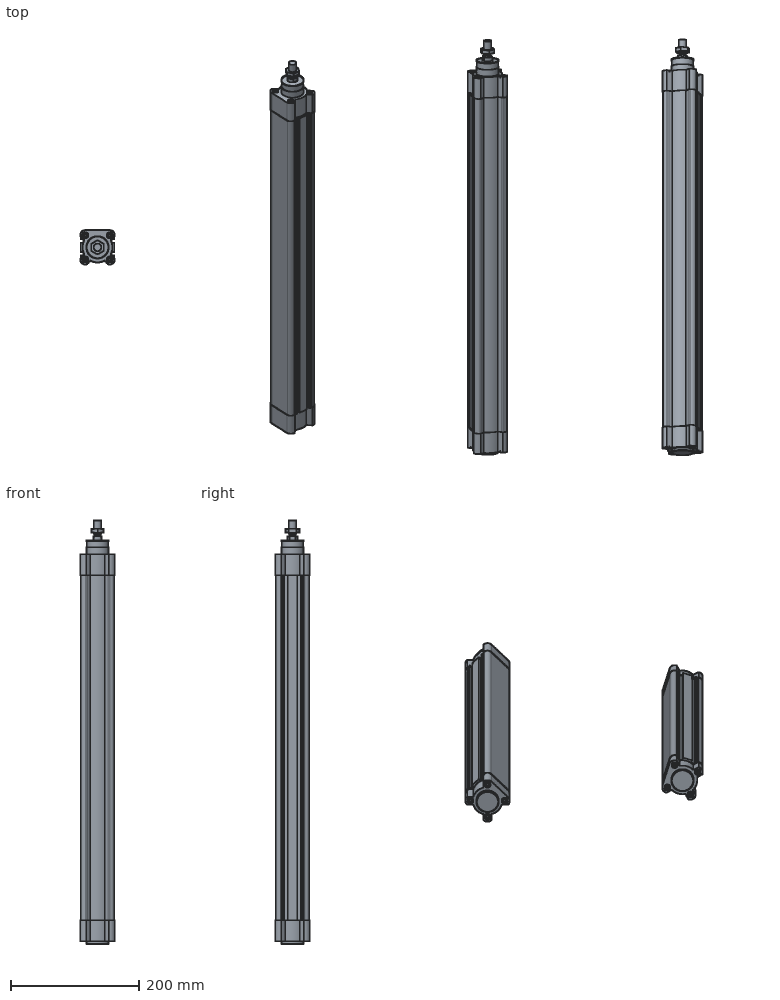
import cadquery as cq

TOTAL_LENGTH = 662.0
REAR_BOSS_HEIGHT = 4.5
CAP_LENGTH = 33.0
HEAD_TOP = 609.0
COLLAR_TOP = 631.0
ROD_SHOULDER = 637.0

CAP_SIDE = 54.0
CAP_CORNER_RADIUS = 8.5
CAP_CHANNEL_WIDTH = 36.0
CAP_CORE_RADIUS = 23.0

BARREL_SIDE = 53.0
BARREL_CORNER_RADIUS = 7.0
BARREL_CHANNEL_WIDTH = 33.0
BARREL_CORE_RADIUS = 24.0
CHANNEL_LIP_RADIUS = 2.5

CHANNEL_DEPTH = 10.5

RIB_WIDTH = 14.5
SLOT_WIDTH = 5.0
SLOT_DEPTH = 4.0

POST_GROOVE_INNER = 15.0
POST_GROOVE_WIDTH = 2.0
POST_GROOVE_DEPTH = 0.5

SCREW_SPACING = 38.0
SCREW_RECESS_DIAMETER = 9.0
SCREW_RECESS_DEPTH = 2.0
SCREW_STEP_DIAMETER = 6.0
SCREW_STEP_DEPTH = 2.5
SCREW_HOLE_DIAMETER = 4.0
SCREW_HOLE_DEPTH = 13.0

COLLAR_DIAMETER = 35.0
BOSS_CHAMFER = 1.0
GROOVE_TOP = 629.5
GROOVE_BOTTOM = 619.5
GROOVE_DIAMETER = 34.0

ROD_DIAMETER = 16.0
ROD_FLATS = 13.0
THREAD_DIAMETER = 12.0
THREAD_BOTTOM = 641.5
NECK_DIAMETER = 10.0
NECK_TOP = 639.5

NUT_TOP = 648.5
NUT_HEIGHT = 6.0
NUT_FLATS = 19.0
NUT_SIDES = 6

REAR_CAP_TOP = REAR_BOSS_HEIGHT + CAP_LENGTH
HEAD_BOTTOM = HEAD_TOP - CAP_LENGTH


def cylinder(diameter, bottom, top):
    return cq.Workplane("XY").workplane(offset=bottom).circle(diameter / 2).extrude(top - bottom)


def post_block(side, corner_radius, bottom, top):
    """Square block with rounded upright corners."""
    block = cq.Workplane("XY").workplane(offset=bottom).rect(side, side).extrude(top - bottom)
    return block.edges("|Z").fillet(corner_radius)


def channel(side, mouth_width, core_radius, bottom, top):
    """Cutter for a channel in the -Y side, with 45 degree flanks down to the round core."""
    face_y = -side / 2
    half_mouth = mouth_width / 2
    half_bottom = half_mouth - CHANNEL_DEPTH
    wedge = (
        cq.Workplane("XY")
        .workplane(offset=bottom)
        .moveTo(-half_mouth, face_y)
        .lineTo(-half_bottom, face_y + CHANNEL_DEPTH)
        .lineTo(half_bottom, face_y + CHANNEL_DEPTH)
        .lineTo(half_mouth, face_y)
        .close()
        .extrude(top - bottom)
    )
    return wedge.cut(cylinder(2 * core_radius, bottom, top))


def screw_recesses(face, inward):
    """Stepped screw recesses in the four posts; inward is -1 below a top face, 1 above a bottom face."""
    recesses = cq.Workplane("XY")
    for diameter, depth in (
        (SCREW_RECESS_DIAMETER, SCREW_RECESS_DEPTH),
        (SCREW_STEP_DIAMETER, SCREW_STEP_DEPTH),
        (SCREW_HOLE_DIAMETER, SCREW_HOLE_DEPTH),
    ):
        steps = (
            cq.Workplane("XY")
            .workplane(offset=face)
            .rect(SCREW_SPACING, SCREW_SPACING, forConstruction=True)
            .vertices()
            .circle(diameter / 2)
            .extrude(inward * depth)
        )
        recesses = recesses.add(steps)
    return recesses.combine()


def end_cap(bottom, top):
    """Cap with channels in three sides; the +Y side stays flat."""
    cap = post_block(CAP_SIDE, CAP_CORNER_RADIUS, bottom, top)
    cutter = channel(CAP_SIDE, CAP_CHANNEL_WIDTH, CAP_CORE_RADIUS, bottom, top)
    for turn in (-90, 0, 90):
        cap = cap.cut(cutter.rotate((0, 0, 0), (0, 0, 1), turn))
    return cap


def side_cuts(y_inner, width, depth):
    """Four upright cutters in the left and right barrel sides, mirrored about both midplanes."""
    return (
        cq.Workplane("XY")
        .workplane(offset=REAR_CAP_TOP)
        .rect(BARREL_SIDE - depth, 2 * y_inner + width, forConstruction=True)
        .vertices()
        .rect(depth, width)
        .extrude(HEAD_BOTTOM - REAR_CAP_TOP)
    )


def barrel():
    """Barrel body: a round-lipped channel in front, slots beside a rib left and right."""
    body = post_block(BARREL_SIDE, BARREL_CORNER_RADIUS, REAR_CAP_TOP, HEAD_BOTTOM)
    body = body.cut(channel(BARREL_SIDE, BARREL_CHANNEL_WIDTH, BARREL_CORE_RADIUS, REAR_CAP_TOP, HEAD_BOTTOM))
    mid_height = (REAR_CAP_TOP + HEAD_BOTTOM) / 2
    for side in (-1, 1):
        lip = (side * BARREL_CHANNEL_WIDTH / 2, -BARREL_SIDE / 2, mid_height)
        body = body.edges(cq.NearestToPointSelector(lip)).fillet(CHANNEL_LIP_RADIUS)
    body = body.cut(side_cuts(RIB_WIDTH / 2, SLOT_WIDTH, SLOT_DEPTH))
    return body.cut(side_cuts(POST_GROOVE_INNER, POST_GROOVE_WIDTH, POST_GROOVE_DEPTH))


def head_collar():
    """Collar around the rod, with a shallow turned groove below its top rim."""
    base = cylinder(COLLAR_DIAMETER, HEAD_TOP, GROOVE_BOTTOM)
    waist = cylinder(GROOVE_DIAMETER, GROOVE_BOTTOM, GROOVE_TOP)
    rim = cylinder(COLLAR_DIAMETER, GROOVE_TOP, COLLAR_TOP)
    return base.union(waist).union(rim)


def make_housing():
    """Barrel, both end caps, collar and rear boss, bored for the rod."""
    rear_boss = cylinder(COLLAR_DIAMETER, 0, REAR_BOSS_HEIGHT).faces("<Z").chamfer(BOSS_CHAMFER)
    head = end_cap(HEAD_BOTTOM, HEAD_TOP).cut(screw_recesses(HEAD_TOP, -1))
    rear = end_cap(REAR_BOSS_HEIGHT, REAR_CAP_TOP).cut(screw_recesses(REAR_BOSS_HEIGHT, 1))
    housing = barrel().union(head).union(rear).union(head_collar()).union(rear_boss)
    return housing.cut(cylinder(ROD_DIAMETER, HEAD_BOTTOM, COLLAR_TOP))


def make_rod():
    """Rod with wrench flats above the collar, an undercut neck and a threaded tip."""
    shank = cylinder(ROD_DIAMETER, HEAD_BOTTOM, COLLAR_TOP)
    flat_height = ROD_SHOULDER - COLLAR_TOP
    flats = cq.Workplane("XY").workplane(offset=COLLAR_TOP).rect(ROD_FLATS, ROD_DIAMETER).extrude(flat_height)
    wrench = cylinder(ROD_DIAMETER, COLLAR_TOP, ROD_SHOULDER).intersect(flats)
    neck = cylinder(NECK_DIAMETER, ROD_SHOULDER, NECK_TOP)
    taper = (
        cq.Workplane("XY")
        .workplane(offset=NECK_TOP)
        .circle(NECK_DIAMETER / 2)
        .workplane(offset=THREAD_BOTTOM - NECK_TOP)
        .circle(THREAD_DIAMETER / 2)
        .loft()
    )
    tip = cylinder(THREAD_DIAMETER, THREAD_BOTTOM, TOTAL_LENGTH)
    return shank.union(wrench).union(neck).union(taper).union(tip)


def make_nut():
    """Hexagon nut bored to the thread diameter."""
    bottom = NUT_TOP - NUT_HEIGHT
    blank = (
        cq.Workplane("XY")
        .workplane(offset=bottom)
        .polygon(NUT_SIDES, NUT_FLATS, circumscribed=True)
        .extrude(NUT_HEIGHT)
    )
    return blank.cut(cylinder(THREAD_DIAMETER, bottom, NUT_TOP))


housing = make_housing()
piston_rod = make_rod()
nut = make_nut()

result = cq.Compound.makeCompound([housing.val(), piston_rod.val(), nut.val()])